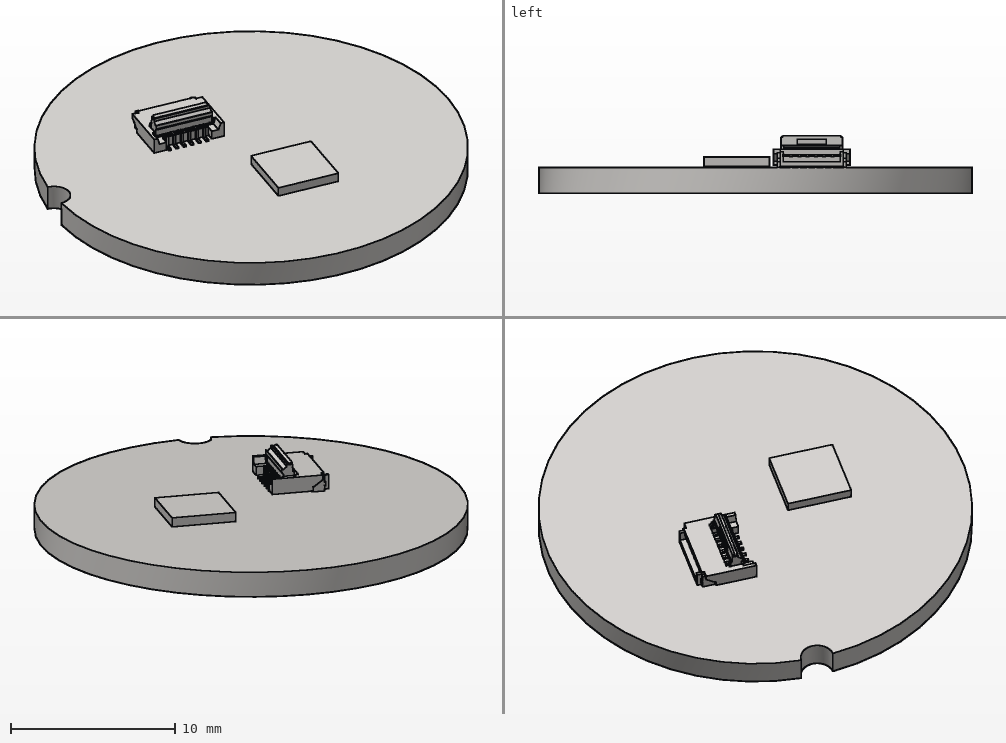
import cadquery as cq

BOARD_DIAMETER = 26.4
BOARD_THICKNESS = 1.58
NOTCH_RADIUS = 1.0

MOUNT_GAP = 0.05
MOUNT_Z = BOARD_THICKNESS + MOUNT_GAP

CHIP_SIDE = 4.0
CHIP_X = 3.83
CHIP_Y = 1.15
CHIP_TOP_Z = 2.22

CONNECTOR_Y = -3.4
SHELL_FRONT_X = -4.83
SHELL_BACK_X = -2.2
SHELL_WIDTH = 4.67
SHELL_BOTTOM_Z = 1.72
SHELL_TOP_Z = 2.7
CORE_FRONT_X = -5.0
CORE_WIDTH = 3.85
ARM_BACK_X = -1.64
ARM_WIDTH = 0.82

CORNER_CUT_BACK_X = -4.2
CORNER_CUT_LOW_Z = 1.95
CORNER_CUT_HIGH_Z = 2.4
EAR_THICKNESS = 0.18
EAR_TOP_Z = 2.48
EAR_OUTER_WIDTH = CORE_WIDTH + 2 * EAR_THICKNESS

BARB_LENGTH = 0.08
BARB_BOTTOM_Z = 1.93
BARB_TOP_Z = 2.15

LIP_FRONT_X = -5.28
LIP_TOP_Z = 2.53

MOUTH_WIDTH = 3.48
MOUTH_BOTTOM_Z = 1.93
MOUTH_TOP_Z = 2.35
MOUTH_END_X = -2.43

SLOT_FRONT_X = -3.4
SLOT_BACK_X = -2.38
SLOT_WIDTH = 3.65
PIVOT_FRONT_X = -3.22
PIVOT_WIDTH = 3.9
DECK_Z = 2.27
DECK_FLOOR_WIDTH = 3.93
DECK_RIM_WIDTH = 4.22

CONTACT_COUNT = 6
CONTACT_PITCH = 0.5
CONTACT_WIDTH = 0.15
CONTACT_THICKNESS = 0.13
TAIL_THICKNESS = 0.08
CONTACT_FRONT_X = -4.95
CONTACT_BEND_X = -2.08
CONTACT_TAIL_X = -1.7

ACTUATOR_FACE_X = -3.05
ACTUATOR_FACE_BOTTOM_Z = 2.93
ACTUATOR_HEEL_X = -3.15
ACTUATOR_HEEL_Z = 2.9
ACTUATOR_NECK_FRONT_X = -2.95
ACTUATOR_NECK_BACK_X = -2.45
ACTUATOR_NECK_TOP_Z = 2.77
ACTUATOR_PEAK_X = -3.0
ACTUATOR_PEAK_Z = 3.5
ACTUATOR_VALLEY_X = -2.82
ACTUATOR_VALLEY_Z = 3.4
ACTUATOR_CREST_X = -2.67
ACTUATOR_CREST_Z = 3.45
ACTUATOR_STEP_Z = 3.27
ACTUATOR_NOTCH_X = -2.43
ACTUATOR_NOTCH_Z = 3.1
ACTUATOR_TIP_X = -2.35
ACTUATOR_TIP_TOP_Z = 3.17
ACTUATOR_TIP_BOTTOM_Z = 2.9
ACTUATOR_WIDTH = 3.75
ACTUATOR_CHAMFER = 0.13
STOP_WIDTH = 0.15
STOP_BACK_X = -2.9
WINDOW_WIDTH = 1.75
WINDOW_BOTTOM_Z = 2.98
WINDOW_TOP_Z = 3.3
WINDOW_DEPTH = 0.1


def block(x_range, y_range, z_range):
    """Box between the given limits along each axis."""
    x0, x1 = x_range
    y0, y1 = y_range
    z0, z1 = z_range
    return cq.Workplane("XY").box(x1 - x0, y1 - y0, z1 - z0, centered=False).translate((x0, y0, z0))


def connector_block(x_range, width, z_range):
    """Box of the given width, centred on the connector."""
    return block(x_range, (CONNECTOR_Y - width / 2, CONNECTOR_Y + width / 2), z_range)


def connector_prism(points, width, y_centre=CONNECTOR_Y):
    """XZ outline extruded along Y by the given width, centred on y_centre."""
    return (
        cq.Workplane("XZ", origin=(0, y_centre, 0))
        .polyline(points)
        .close()
        .extrude(width / 2, both=True)
    )


def make_board():
    radius = BOARD_DIAMETER / 2
    notch = cq.Workplane("XY").center(0, -radius).circle(NOTCH_RADIUS).extrude(BOARD_THICKNESS)
    return cq.Workplane("XY").circle(radius).extrude(BOARD_THICKNESS).cut(notch)


def make_chip():
    thickness = CHIP_TOP_Z - MOUNT_Z
    return (
        cq.Workplane("XY")
        .box(CHIP_SIDE, CHIP_SIDE, thickness, centered=(True, True, False))
        .translate((CHIP_X, CHIP_Y, MOUNT_Z))
    )


def make_shell():
    """Outer shell with its two rear arms and the sloping cuts under its front corners."""
    shell = connector_block((SHELL_FRONT_X, ARM_BACK_X), SHELL_WIDTH, (SHELL_BOTTOM_Z, SHELL_TOP_Z))
    rear_gap = connector_block(
        (SHELL_BACK_X, ARM_BACK_X), SHELL_WIDTH - 2 * ARM_WIDTH, (SHELL_BOTTOM_Z, SHELL_TOP_Z)
    )
    corner_outline = [
        (SHELL_FRONT_X, SHELL_BOTTOM_Z),
        (CORNER_CUT_BACK_X, SHELL_BOTTOM_Z),
        (CORNER_CUT_BACK_X, CORNER_CUT_LOW_Z),
        (SHELL_FRONT_X, CORNER_CUT_HIGH_Z),
    ]
    kept_middle = connector_block(
        (SHELL_FRONT_X, CORNER_CUT_BACK_X), CORE_WIDTH, (SHELL_BOTTOM_Z, SHELL_TOP_Z)
    )
    corner_cuts = connector_prism(corner_outline, SHELL_WIDTH).cut(kept_middle)
    return shell.cut(rear_gap).cut(corner_cuts)


def make_ears():
    """Plates on both sides of the front that stand on the board."""
    z_range = (BOARD_THICKNESS, EAR_TOP_Z)
    x_range = (CORE_FRONT_X, CORNER_CUT_BACK_X)
    barb_x_range = (CORE_FRONT_X - BARB_LENGTH, CORE_FRONT_X)
    plates = connector_block(x_range, EAR_OUTER_WIDTH, z_range)
    barbs = connector_block(barb_x_range, EAR_OUTER_WIDTH, (BARB_BOTTOM_Z, BARB_TOP_Z))
    between_ears = connector_block((barb_x_range[0], x_range[1]), CORE_WIDTH, z_range)
    return plates.union(barbs).cut(between_ears)


def make_deck_cut():
    """Space above the lowered rear deck, flaring outward to the shell top."""
    floor = DECK_FLOOR_WIDTH / 2
    rim = DECK_RIM_WIDTH / 2
    outline = [(-floor, DECK_Z), (floor, DECK_Z), (rim, SHELL_TOP_Z), (-rim, SHELL_TOP_Z)]
    return (
        cq.Workplane("YZ", origin=(SLOT_BACK_X, CONNECTOR_Y, 0))
        .polyline(outline)
        .close()
        .extrude(ARM_BACK_X - SLOT_BACK_X)
    )


def make_housing():
    core = connector_block((CORE_FRONT_X, SHELL_BACK_X), CORE_WIDTH, (MOUNT_Z, SHELL_TOP_Z))
    lip = connector_block((LIP_FRONT_X, CORE_FRONT_X), CORE_WIDTH, (MOUNT_Z, LIP_TOP_Z))
    mouth = connector_block((LIP_FRONT_X, MOUTH_END_X), MOUTH_WIDTH, (MOUTH_BOTTOM_Z, MOUTH_TOP_Z))
    open_lip = connector_block((LIP_FRONT_X, CORE_FRONT_X), MOUTH_WIDTH, (MOUTH_TOP_Z, LIP_TOP_Z))
    slot = connector_block((SLOT_FRONT_X, SLOT_BACK_X), SLOT_WIDTH, (MOUTH_TOP_Z, SHELL_TOP_Z))
    pivot = connector_block((PIVOT_FRONT_X, SLOT_BACK_X), PIVOT_WIDTH, (MOUTH_TOP_Z, SHELL_TOP_Z))
    housing = make_shell().union(make_ears()).union(core).union(lip)
    return housing.cut(mouth).cut(open_lip).cut(slot).cut(pivot).cut(make_deck_cut())


def make_contact(y_centre):
    """Strip under the mouth ceiling that bends down behind the housing to a tail on the board."""
    top_z = MOUTH_TOP_Z
    under_z = top_z - CONTACT_THICKNESS
    tail_z = BOARD_THICKNESS + TAIL_THICKNESS
    outline = [
        (CONTACT_FRONT_X, top_z),
        (CONTACT_BEND_X, top_z),
        (CONTACT_BEND_X, tail_z),
        (CONTACT_TAIL_X, tail_z),
        (CONTACT_TAIL_X, BOARD_THICKNESS),
        (SHELL_BACK_X, BOARD_THICKNESS),
        (SHELL_BACK_X, under_z),
        (CONTACT_FRONT_X, under_z),
    ]
    return connector_prism(outline, CONTACT_WIDTH, y_centre)


def make_actuator():
    """Raised flap resting on the contacts, with chamfered top corners."""
    flap_outline = [
        (ACTUATOR_NECK_FRONT_X, MOUTH_TOP_Z),
        (ACTUATOR_NECK_FRONT_X, ACTUATOR_NECK_TOP_Z),
        (ACTUATOR_HEEL_X, ACTUATOR_HEEL_Z),
        (ACTUATOR_FACE_X, ACTUATOR_FACE_BOTTOM_Z),
        (ACTUATOR_PEAK_X, ACTUATOR_PEAK_Z),
        (ACTUATOR_VALLEY_X, ACTUATOR_VALLEY_Z),
        (ACTUATOR_CREST_X, ACTUATOR_CREST_Z),
        (ACTUATOR_CREST_X, ACTUATOR_STEP_Z),
        (ACTUATOR_NOTCH_X, ACTUATOR_NOTCH_Z),
        (ACTUATOR_TIP_X, ACTUATOR_TIP_TOP_Z),
        (ACTUATOR_TIP_X, ACTUATOR_TIP_BOTTOM_Z),
        (ACTUATOR_NECK_BACK_X, ACTUATOR_NECK_TOP_Z),
        (ACTUATOR_NECK_BACK_X, MOUTH_TOP_Z),
    ]
    half_width = ACTUATOR_WIDTH / 2
    chamfer_start_z = ACTUATOR_PEAK_Z - ACTUATOR_CHAMFER
    face_outline = [
        (-half_width, MOUTH_TOP_Z),
        (half_width, MOUTH_TOP_Z),
        (half_width, chamfer_start_z),
        (half_width - ACTUATOR_CHAMFER, ACTUATOR_PEAK_Z),
        (ACTUATOR_CHAMFER - half_width, ACTUATOR_PEAK_Z),
        (-half_width, chamfer_start_z),
    ]
    envelope = (
        cq.Workplane("YZ", origin=(SLOT_FRONT_X, CONNECTOR_Y, 0))
        .polyline(face_outline)
        .close()
        .extrude(ARM_BACK_X - SLOT_FRONT_X)
    )
    actuator = connector_prism(flap_outline, ACTUATOR_WIDTH).intersect(envelope)
    for side in (-1, 1):
        stop_y = CONNECTOR_Y + side * (ACTUATOR_WIDTH - STOP_WIDTH) / 2
        actuator = actuator.union(
            block(
                (ACTUATOR_HEEL_X, STOP_BACK_X),
                (stop_y - STOP_WIDTH / 2, stop_y + STOP_WIDTH / 2),
                (MOUTH_TOP_Z, ACTUATOR_HEEL_Z),
            )
        )
    window = connector_block(
        (ACTUATOR_FACE_X, ACTUATOR_FACE_X + WINDOW_DEPTH), WINDOW_WIDTH, (WINDOW_BOTTOM_Z, WINDOW_TOP_Z)
    )
    return actuator.cut(window)


def make_connector():
    connector = make_housing()
    first_y = CONNECTOR_Y - CONTACT_PITCH * (CONTACT_COUNT - 1) / 2
    for index in range(CONTACT_COUNT):
        connector = connector.union(make_contact(first_y + index * CONTACT_PITCH))
    return connector.union(make_actuator())


board = make_board()
chip = make_chip()
connector = make_connector()
result = cq.Compound.makeCompound([board.val(), chip.val(), connector.val()])